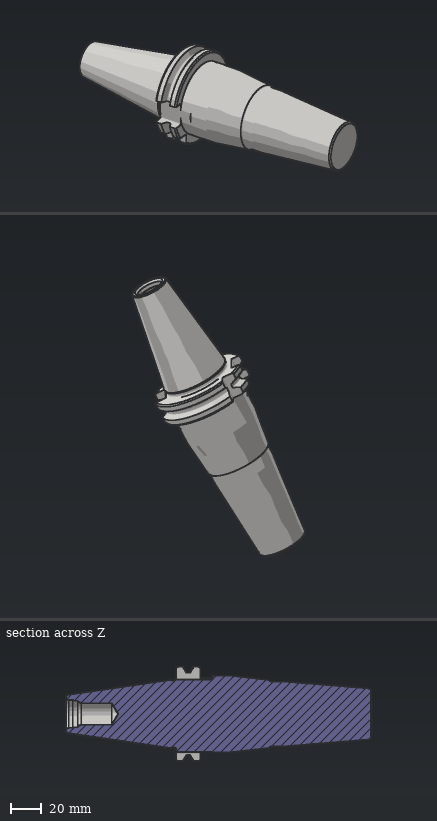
import cadquery as cq
import math


total_length = 198.2
taper_ratio = 7 / 24
taper_end = 67.8
taper_large_radius = 22.2
taper_small_radius = taper_large_radius - taper_end * taper_ratio / 2
tail_chamfer = 0.7
neck_start = 68.8
neck_radius = 21.8
neck_fillet = 1.2

flange_start = 71.5
flange_width = 15.9
flange_end = flange_start + flange_width
flange_radius = 31.7
flange_chamfer = 1.0
groove_center = 79.5
groove_bottom_radius = 28.0
groove_half_width = 3.4
groove_half_angle = math.radians(30)
groove_floor_half = groove_half_width - (flange_radius - groove_bottom_radius) * math.tan(groove_half_angle)
groove_fillet = 0.7

body_radius = 25.0
body_end = 107.0
shoulder_start = 131.6
shoulder_radius = 22.2
shoulder_drop = 0.2
shoulder_edge = 132.2
collar_start = 133.2
collar_end = 141.0
collar_radius = 21.2
nose_radius = 16.7
nose_chamfer = 1.0
nose_chamfer_start = total_length - nose_chamfer

slot_width = 16.0
slot_end = 95.2
front_slot_depth_radius = 24.8
rear_slot_depth_radius = 22.5
slot_fillet = 1.0
notch_offset = 18.2
notch_fillet = 1.4

mouth_radius = 10.0
mouth_depth = 1.8
recess_radius = 9.0
recess_end = 4.5
pilot_radius = 8.5
pilot_end = 7.7
lead_in_radius = 8.0
lead_in_end = 10.0
bore_radius = 7.0
bore_end = 29.7
drill_half_angle = math.radians(59)
drill_tip = bore_end + bore_radius / math.tan(drill_half_angle)


def revolve_about_x(profile):
    """Revolve a closed (x, radius) profile about the X axis, with its seam turned to the -Y side."""
    turned = profile.close().revolve(360, (0, 0, 0), (1, 0, 0))
    return turned.rotate((0, 0, 0), (1, 0, 0), 180)


def make_holder():
    """Turned outside of the holder, from the taper to the nose."""
    fillet_mid = neck_fillet * (1 - math.sqrt(0.5))
    fillet_length = collar_start - shoulder_edge
    fillet_height = shoulder_radius - shoulder_drop - collar_radius
    shoulder_fillet = (fillet_length**2 + fillet_height**2) / (2 * fillet_height)
    profile = (
        cq.Workplane("XY")
        .lineTo(0, taper_small_radius - tail_chamfer)
        .lineTo(tail_chamfer, taper_small_radius + tail_chamfer * taper_ratio / 2)
        .lineTo(taper_end, taper_large_radius)
        .lineTo(neck_start, neck_radius)
        .lineTo(flange_start - neck_fillet, neck_radius)
        .threePointArc(
            (flange_start - fillet_mid, neck_radius + fillet_mid),
            (flange_start, neck_radius + neck_fillet),
        )
        .lineTo(flange_start, flange_radius - flange_chamfer)
        .lineTo(flange_start + flange_chamfer, flange_radius)
        .lineTo(flange_end - flange_chamfer, flange_radius)
        .lineTo(flange_end, flange_radius - flange_chamfer)
        .lineTo(flange_end, body_radius)
        .lineTo(body_end, body_radius)
        .lineTo(shoulder_start, shoulder_radius)
        .lineTo(shoulder_edge, shoulder_radius - shoulder_drop)
        .radiusArc((collar_start, collar_radius), -shoulder_fillet)
        .lineTo(collar_end, collar_radius)
        .lineTo(nose_chamfer_start, nose_radius)
        .lineTo(total_length, nose_radius - nose_chamfer)
        .lineTo(total_length, 0)
    )
    return revolve_about_x(profile)


def make_groove():
    """Ring cutter for the V groove, with rounded corners along its floor."""
    cutter = revolve_about_x(
        cq.Workplane("XY")
        .moveTo(groove_center - groove_half_width, flange_radius)
        .lineTo(groove_center - groove_floor_half, groove_bottom_radius)
        .lineTo(groove_center + groove_floor_half, groove_bottom_radius)
        .lineTo(groove_center + groove_half_width, flange_radius)
    )
    floor_edges = cq.selectors.RadiusNthSelector(0)
    return cutter.edges("%CIRCLE").edges(floor_edges).fillet(groove_fillet)


def make_slot(side, depth_radius):
    """Driving slot through the flange into the body; side is -1 for -Y and +1 for +Y."""
    slot_length = slot_end - flange_start
    slot_height = flange_radius - depth_radius
    floor = "<Y" if side > 0 else ">Y"
    return (
        cq.Workplane("XY")
        .box(slot_length, slot_height, slot_width)
        .translate((flange_start + slot_length / 2, side * (depth_radius + slot_height / 2), 0))
        .faces(floor)
        .edges("|X")
        .fillet(slot_fillet)
    )


def make_notch():
    """Orientation notch cut through the flange at -Y, -Z."""
    notch_size = flange_radius - notch_offset
    middle = notch_offset + notch_size / 2
    return (
        cq.Workplane("XY")
        .box(flange_width, notch_size, notch_size)
        .translate((flange_start + flange_width / 2, -middle, -middle))
        .edges("|X and >Y and >Z")
        .fillet(notch_fillet)
    )


def make_bore():
    """Drawbar bore: flared mouth, recess, pilot, lead-in cone, and a drilled hole with a pointed end."""
    return revolve_about_x(
        cq.Workplane("XY")
        .lineTo(0, mouth_radius)
        .lineTo(mouth_depth, recess_radius)
        .lineTo(recess_end, recess_radius)
        .lineTo(recess_end, pilot_radius)
        .lineTo(pilot_end, pilot_radius)
        .lineTo(pilot_end, lead_in_radius)
        .lineTo(lead_in_end, bore_radius)
        .lineTo(bore_end, bore_radius)
        .lineTo(drill_tip, 0)
    )


result = (
    make_holder()
    .cut(make_slot(-1, front_slot_depth_radius))
    .cut(make_slot(1, rear_slot_depth_radius))
    .cut(make_notch())
    .cut(make_groove())
    .cut(make_bore())
)